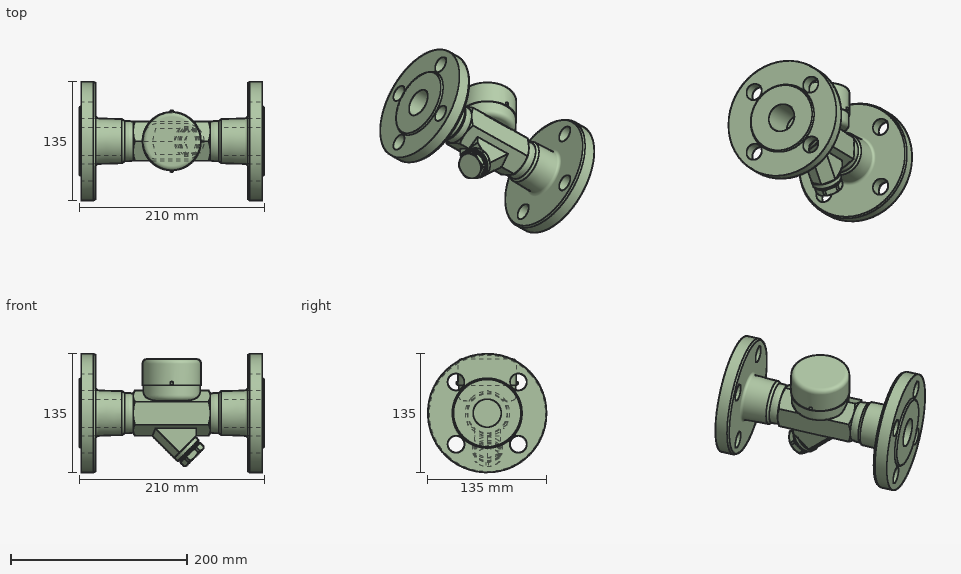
import cadquery as cq
import math


LENGTH = 210.0
HALF_LENGTH = LENGTH / 2

FLANGE_RADIUS = 135.0 / 2
FLANGE_OUTER_X = 103.0
FLANGE_INNER_X = 86.5
FLANGE_CHAMFER_LENGTH = 2.3
FLANGE_CHAMFER_DEPTH = 1.5
RAISED_FACE_RADIUS = 38.2
RAISED_FACE_ROOT_RADIUS = 39.7
BOLT_HOLE_DIAMETER = 19.0
BOLT_CIRCLE_RADIUS = 50.0
BOLT_COUNT = 4
FIRST_BOLT_ANGLE = 45

HUB_FILLET = 3.4
HUB_RADIUS_AT_FLANGE = 26.0
HUB_RADIUS_AT_NECK = 25.2
HUB_END_X = 56.5
NECK_START_X = 53.3
NECK_END_X = 48.3
NECK_RADIUS = 46.0 / 2
NECK_RADIUS_AT_BODY = 22.3

BORE_RADIUS = 32.0 / 2
BORE_DEPTH = HALF_LENGTH - HUB_END_X

BODY_HALF_LENGTH = 43.7
BODY_ACROSS_FLATS = 45.0
BODY_CORNER_RADIUS = BODY_ACROSS_FLATS / math.sqrt(3)
BODY_END_CHAMFER = 1.9

CAP_RADIUS = 66.5 / 2
CAP_TOP_Z = 61.5
CAP_STEP_Z = 31.5
CAP_TOP_FILLET = 5.2
SEAT_RADIUS = 65 / 2
SEAT_BOTTOM_Z = 14.3
SEAT_FILLET = 5.7
STUD_RADIUS = 1.9
STUD_Z = 34.0

LEG_AXIS_X = -24.0
LEG_ANGLE = 45
LEG_DIRECTION = cq.Vector(1, 0, -1).normalized()
LEG_ORIGIN = cq.Vector(LEG_AXIS_X / 2, 0, LEG_AXIS_X / 2)
LEG_CORNER_RADIUS = 17.0
LEG_START = -8.5
LEG_END = 38.0
WEB_END_X = 28.0

COLLAR_RADIUS = 34.0 / 2
COLLAR_END = 43.3
COLLAR_BEVEL_END = 44.3
COLLAR_BEVEL_RADIUS = 15.5
GROOVE_RADIUS = 14.5
GROOVE_END = 46.5
HEAD_END = 54.0
HEAD_ACROSS_FLATS = 29.0
HEAD_CORNER_RADIUS = HEAD_ACROSS_FLATS / math.sqrt(3)
HEAD_TURNED_RADIUS = 32.0 / 2
HEAD_CHAMFER = 1.3


def turned(profile):
    """Revolve an (x, radius) outline about the X axis."""
    return profile.close().revolve(360, (0, 0, 0), (1, 0, 0))


def hexagon(corner_radius):
    """Corner points of a hexagon with one corner on the local +Y axis."""
    angles = [math.radians(90 + 60 * i) for i in range(6)]
    return [(corner_radius * math.cos(a), corner_radius * math.sin(a)) for a in angles]


def end_fitting():
    """Flange, hub and neck on the +X side."""
    fillet_corner = HUB_FILLET * math.sqrt(0.5)
    fillet_end_x = FLANGE_INNER_X - HUB_FILLET
    fillet_top = HUB_RADIUS_AT_FLANGE + HUB_FILLET
    profile = (
        cq.Workplane("XY")
        .moveTo(0, 0)
        .lineTo(HALF_LENGTH, 0)
        .lineTo(HALF_LENGTH, RAISED_FACE_RADIUS)
        .lineTo(FLANGE_OUTER_X, RAISED_FACE_ROOT_RADIUS)
        .lineTo(FLANGE_OUTER_X, FLANGE_RADIUS)
        .lineTo(FLANGE_INNER_X + FLANGE_CHAMFER_LENGTH, FLANGE_RADIUS)
        .lineTo(FLANGE_INNER_X, FLANGE_RADIUS - FLANGE_CHAMFER_DEPTH)
        .lineTo(FLANGE_INNER_X, fillet_top)
        .threePointArc(
            (fillet_end_x + fillet_corner, fillet_top - fillet_corner),
            (fillet_end_x, HUB_RADIUS_AT_FLANGE),
        )
        .lineTo(HUB_END_X, HUB_RADIUS_AT_NECK)
        .lineTo(NECK_START_X, NECK_RADIUS)
        .lineTo(NECK_END_X, NECK_RADIUS)
        .lineTo(BODY_HALF_LENGTH, NECK_RADIUS_AT_BODY)
        .lineTo(0, NECK_RADIUS_AT_BODY)
    )
    bolt_holes = (
        cq.Workplane("YZ")
        .polarArray(BOLT_CIRCLE_RADIUS, FIRST_BOLT_ANGLE, 360, BOLT_COUNT)
        .circle(BOLT_HOLE_DIAMETER / 2)
        .extrude(HALF_LENGTH)
    )
    return turned(profile).cut(bolt_holes)


def body():
    bar = (
        cq.Workplane("YZ")
        .polyline(hexagon(BODY_CORNER_RADIUS))
        .close()
        .extrude(BODY_HALF_LENGTH, both=True)
    )
    cone_radius = BODY_ACROSS_FLATS / 2
    envelope = turned(
        cq.Workplane("XY")
        .moveTo(-BODY_HALF_LENGTH, 0)
        .lineTo(-BODY_HALF_LENGTH, cone_radius)
        .lineTo(-BODY_HALF_LENGTH + BODY_END_CHAMFER, BODY_CORNER_RADIUS)
        .lineTo(BODY_HALF_LENGTH - BODY_END_CHAMFER, BODY_CORNER_RADIUS)
        .lineTo(BODY_HALF_LENGTH, cone_radius)
        .lineTo(BODY_HALF_LENGTH, 0)
    )
    return bar.intersect(envelope)


def cap():
    seat = (
        cq.Workplane("XY", origin=(0, 0, SEAT_BOTTOM_Z))
        .circle(SEAT_RADIUS)
        .extrude(CAP_STEP_Z - SEAT_BOTTOM_Z)
        .faces("<Z")
        .edges()
        .fillet(SEAT_FILLET)
    )
    cover = (
        cq.Workplane("XY", origin=(0, 0, CAP_STEP_Z))
        .circle(CAP_RADIUS)
        .extrude(CAP_TOP_Z - CAP_STEP_Z)
        .faces(">Z")
        .edges()
        .fillet(CAP_TOP_FILLET)
    )
    studs = (
        cq.Workplane("XY", origin=(0, 0, STUD_Z))
        .pushPoints([(0, -CAP_RADIUS), (0, CAP_RADIUS)])
        .sphere(STUD_RADIUS)
    )
    return seat.union(cover).union(studs)


def on_leg_axis(shape):
    """Move a shape built along +X onto the strainer leg axis."""
    return shape.rotate((0, 0, 0), (0, 1, 0), LEG_ANGLE).translate(LEG_ORIGIN.toTuple())


def strainer_leg():
    """Hexagonal leg, with its upper side filled flush up to the body."""
    leg = on_leg_axis(
        cq.Workplane("YZ", origin=(LEG_START, 0, 0))
        .polyline(hexagon(LEG_CORNER_RADIUS))
        .close()
        .extrude(LEG_END - LEG_START)
    )
    end_point = LEG_ORIGIN + LEG_DIRECTION * LEG_END
    half_width = LEG_CORNER_RADIUS * math.sqrt(3) / 2
    web = (
        cq.Workplane("XZ")
        .moveTo(LEG_AXIS_X, 0)
        .lineTo(end_point.x, end_point.z)
        .lineTo(WEB_END_X, end_point.z + WEB_END_X - end_point.x)
        .lineTo(WEB_END_X, 0)
        .close()
        .extrude(half_width, both=True)
    )
    return leg.union(web)


def plug():
    collar = turned(
        cq.Workplane("XY")
        .moveTo(LEG_END, 0)
        .lineTo(LEG_END, COLLAR_RADIUS)
        .lineTo(COLLAR_END, COLLAR_RADIUS)
        .lineTo(COLLAR_BEVEL_END, COLLAR_BEVEL_RADIUS)
        .lineTo(COLLAR_BEVEL_END, GROOVE_RADIUS)
        .lineTo(GROOVE_END, GROOVE_RADIUS)
        .lineTo(GROOVE_END, 0)
    )
    head = (
        cq.Workplane("YZ", origin=(GROOVE_END, 0, 0))
        .polyline(hexagon(HEAD_CORNER_RADIUS))
        .close()
        .extrude(HEAD_END - GROOVE_END)
    )
    envelope = turned(
        cq.Workplane("XY")
        .moveTo(GROOVE_END, 0)
        .lineTo(GROOVE_END, HEAD_TURNED_RADIUS)
        .lineTo(HEAD_END - HEAD_CHAMFER, HEAD_TURNED_RADIUS)
        .lineTo(HEAD_END, HEAD_ACROSS_FLATS / 2)
        .lineTo(HEAD_END, 0)
    )
    return on_leg_axis(collar.union(head.intersect(envelope)))


outlet = end_fitting()
inlet = outlet.mirror("YZ")
bores = (
    cq.Workplane("YZ", origin=(HALF_LENGTH - BORE_DEPTH, 0, 0))
    .circle(BORE_RADIUS)
    .extrude(BORE_DEPTH)
)
bores = bores.union(bores.mirror("YZ"))

result = (
    body()
    .union(outlet)
    .union(inlet)
    .union(cap())
    .union(strainer_leg())
    .union(plug())
    .cut(bores)
)